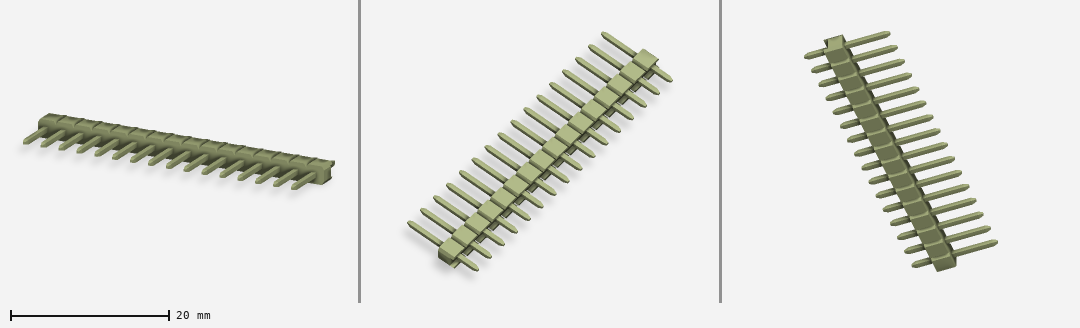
import cadquery as cq

pin_count = 16
pitch = 2.54
pin_width = 0.64
pin_tip_width = 0.32
pin_tip_length = 0.6
pin_offset = -0.12

block_length = pin_count * pitch
block_depth = 2.5
block_height = 2.5
bevel_run = 0.3
bevel_drop = 0.5

lip_thickness = 0.4
channel_depth = 0.6

front_reach = 6.1
back_reach = 3.0


def cell_center(index):
    """X position of the middle of one cell."""
    return (index + 0.5) * pitch - block_length / 2


def make_cell(index):
    """One octagonal cell; the bevels of neighbouring cells form V notches."""
    half_width = pitch / 2
    half_height = block_height / 2
    flat = half_width - bevel_run
    side = half_height - bevel_drop
    outline = [
        (-half_width, -side),
        (-flat, -half_height),
        (flat, -half_height),
        (half_width, -side),
        (half_width, side),
        (flat, half_height),
        (-flat, half_height),
        (-half_width, side),
    ]
    cell = cq.Workplane("XZ").polyline(outline).close().extrude(-block_depth)
    return cell.translate((cell_center(index), 0, 0))


def make_block():
    """Row of joined cells with a channel along the back face."""
    block = make_cell(0)
    for index in range(1, pin_count):
        block = block.union(make_cell(index))
    channel = cq.Workplane("XY").box(block_length, channel_depth, block_height - 2 * lip_thickness)
    return block.cut(channel.translate((0, block_depth - channel_depth / 2, 0)))


def make_tip(base_y, direction):
    """Tapered pin end from base_y; direction is -1 toward the front, +1 toward the back."""
    return (
        cq.Workplane("XZ", origin=(0, base_y, 0))
        .rect(pin_width, pin_width)
        .workplane(offset=-direction * pin_tip_length)
        .rect(pin_tip_width, pin_tip_width)
        .loft(ruled=True)
    )


def make_pin(index):
    """Square pin through the block, tapered at both ends."""
    shank_start = -front_reach + pin_tip_length
    shank_end = block_depth + back_reach - pin_tip_length
    shank_length = shank_end - shank_start
    shank = cq.Workplane("XZ", origin=(0, shank_start, 0)).rect(pin_width, pin_width).extrude(-shank_length)
    pin = shank.union(make_tip(shank_start, -1)).union(make_tip(shank_end, 1))
    return pin.translate((cell_center(index) + pin_offset, 0, 0))


result = make_block()
for pin_index in range(pin_count):
    result = result.union(make_pin(pin_index))